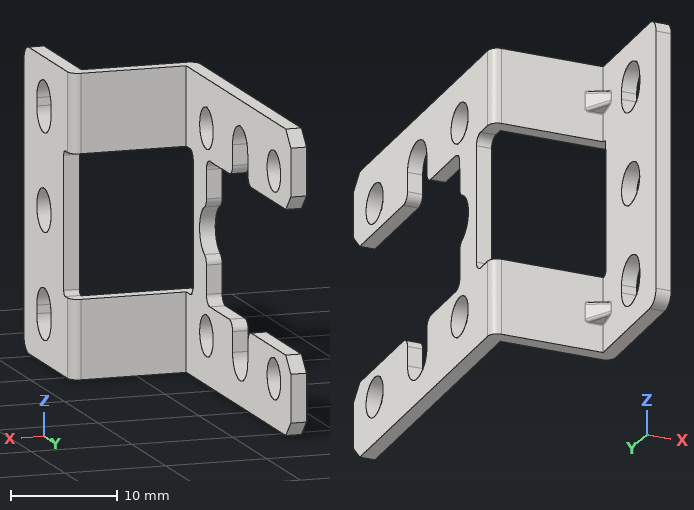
import cadquery as cq

length = 45.0
width = 13.0
height = 29.5
thickness = 1.58
half_height = height / 2

web_front = 12.4
web_back = web_front + thickness
foot_inner = width - thickness
outer_bend_radius = 1.0
inner_bend_radius = 0.1

row_z = 10.0
hole_pitch = 10.0

arm_gap = 14.0
arm_chamfer = 1.55
arm_hole_diameter = 4.0
arm_slot_radius = 2.25
edge_radius = 1.0
bridge_y = 20.0
arm_slot_y = bridge_y + hole_pitch
outer_hole_y = arm_slot_y + hole_pitch
relief_radius = 2.5
relief_depth = 2.02

window_start = 11.85
window_end = 16.0
window_foot_radius = 0.5

foot_corner_radius = 1.5
foot_hole_y = 6.0
foot_hole_diameter = 4.25
foot_slot_height = 5.05

gusset_z = 10.9
gusset_reach_x = 1.85
gusset_reach_y = 1.9
gusset_root_width = 2.05
gusset_tip_width = 1.25
gusset_edge_radius = 0.3


def through_x(sketch):
    """Extrude a closed YZ outline across the whole width of the part."""
    return sketch.extrude(width)


def bent_strip():
    """Z-shaped sheet profile, extruded over the full height, with its bends and end corners."""
    strip = (
        cq.Workplane("XY")
        .workplane(offset=-half_height)
        .moveTo(0, length)
        .lineTo(0, web_front)
        .lineTo(foot_inner, web_front)
        .lineTo(foot_inner, 0)
        .lineTo(width, 0)
        .lineTo(width, web_back)
        .lineTo(thickness, web_back)
        .lineTo(thickness, length)
        .close()
        .extrude(height)
    )

    def bend(x, y):
        return cq.selectors.NearestToPointSelector((x, y, 0))

    strip = strip.edges(bend(0, web_front)).fillet(outer_bend_radius)
    strip = strip.edges(bend(width, web_back)).fillet(outer_bend_radius)
    strip = strip.faces("<Y").edges("|X").fillet(foot_corner_radius)
    return strip.faces(">Y").edges("|X").chamfer(arm_chamfer)


def arm_opening():
    """Gap between the arms, with a pair of round-ended side slots and a round relief in the bridge."""
    gap = through_x(
        cq.Workplane("YZ").center((bridge_y + length) / 2, 0).rect(length - bridge_y, arm_gap)
    )
    side_slot_span = 2 * (row_z + arm_slot_radius)
    side_slots = through_x(
        cq.Workplane("YZ").center(arm_slot_y, 0).slot2D(side_slot_span, 2 * arm_slot_radius, 90)
    )
    relief_y = bridge_y - relief_depth + relief_radius
    relief = through_x(cq.Workplane("YZ").center(relief_y, 0).circle(relief_radius))
    opening = gap.union(side_slots).union(relief)

    corners = cq.selectors.BoxSelector((0, 0, -arm_gap), (width, outer_hole_y, arm_gap))
    return opening.edges("|X").edges(corners).fillet(edge_radius)


def arm_end_chamfers():
    """Corner cuts on the inner side of each arm end."""
    cuts = cq.Workplane("YZ")
    for side in (-1, 1):
        edge_z = side * arm_gap / 2
        cuts = cuts.union(
            through_x(
                cq.Workplane("YZ")
                .moveTo(length, edge_z)
                .lineTo(length - arm_chamfer, edge_z)
                .lineTo(length, edge_z + side * arm_chamfer)
                .close()
            )
        )
    return cuts


def web_window():
    """Rectangular window that runs from the bridge through the web into the foot."""
    window = through_x(
        cq.Workplane("YZ")
        .center((window_start + window_end) / 2, 0)
        .rect(window_end - window_start, arm_gap)
    )
    window = window.faces(">Y").edges("|X").fillet(edge_radius)
    return window.faces("<Y").edges("|X").fillet(window_foot_radius)


def arm_holes():
    """Two round holes in each arm."""
    places = [(y, z) for y in (bridge_y, outer_hole_y) for z in (-row_z, row_z)]
    return through_x(cq.Workplane("YZ").pushPoints(places).circle(arm_hole_diameter / 2))


def foot_holes():
    """Round centre hole and two upright slots in the foot."""
    centre = through_x(cq.Workplane("YZ").center(foot_hole_y, 0).circle(foot_hole_diameter / 2))
    slots = through_x(
        cq.Workplane("YZ")
        .pushPoints([(foot_hole_y, -row_z), (foot_hole_y, row_z)])
        .slot2D(foot_slot_height, foot_hole_diameter, 90)
    )
    return centre.union(slots)


def gusset(z):
    """Triangular gusset that narrows toward its tip on the foot, with rounded slanted edges."""
    root_y = web_front + thickness / 2
    root_x = foot_inner + thickness / 2
    tip_y = web_front - gusset_reach_y
    wedge = (
        cq.Workplane("XY")
        .workplane(offset=z - gusset_root_width / 2)
        .moveTo(foot_inner - gusset_reach_x, web_front)
        .lineTo(foot_inner, tip_y)
        .lineTo(root_x, tip_y)
        .lineTo(root_x, root_y)
        .lineTo(foot_inner - gusset_reach_x, root_y)
        .close()
        .extrude(gusset_root_width)
    )
    taper = through_x(
        cq.Workplane("YZ")
        .moveTo(root_y, z - gusset_root_width / 2)
        .lineTo(web_front, z - gusset_root_width / 2)
        .lineTo(tip_y, z - gusset_tip_width / 2)
        .lineTo(tip_y, z + gusset_tip_width / 2)
        .lineTo(web_front, z + gusset_root_width / 2)
        .lineTo(root_y, z + gusset_root_width / 2)
        .close()
    )
    body = wedge.intersect(taper)
    slope_middle = (foot_inner - gusset_reach_x / 2, web_front - gusset_reach_y / 2, z)
    slope = body.faces(cq.selectors.NearestToPointSelector(slope_middle))
    return slope.edges("not |Z").fillet(gusset_edge_radius)


def round_inner_bend(body):
    """Round the inner corner between web and foot, together with the outlines of the gussets in it."""
    tolerance = 0.005
    far_x = foot_inner - gusset_reach_x - tolerance
    far_y = web_front - gusset_reach_y - tolerance
    near_x = foot_inner + tolerance
    near_y = web_front + tolerance
    corner_x = foot_inner - tolerance
    corner_y = web_front - tolerance

    inner_edges = cq.selectors.BoxSelector(
        (corner_x, corner_y, -half_height), (near_x, near_y, half_height)
    )
    for side in (-1, 1):
        low_z = side * gusset_z - gusset_root_width / 2 - tolerance
        high_z = side * gusset_z + gusset_root_width / 2 + tolerance
        on_web = cq.selectors.BoxSelector((far_x, corner_y, low_z), (near_x, near_y, high_z))
        on_foot = cq.selectors.BoxSelector((corner_x, far_y, low_z), (near_x, near_y, high_z))
        inner_edges = inner_edges + on_web + on_foot
    return body.edges(inner_edges).fillet(inner_bend_radius)


result = bent_strip()
for opening in (arm_opening(), arm_end_chamfers(), web_window(), arm_holes(), foot_holes()):
    result = result.cut(opening)
for gusset_side in (-1, 1):
    result = result.union(gusset(gusset_side * gusset_z))
result = round_inner_bend(result)